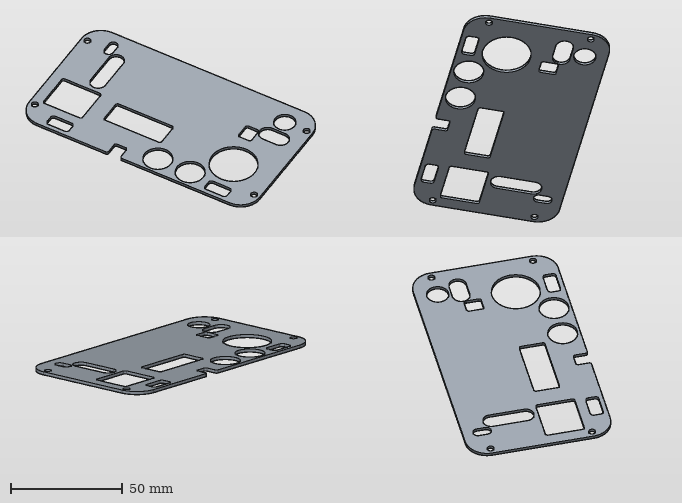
import cadquery as cq

LENGTH = 120.0
WIDTH = 67.0
THICKNESS = 1.5
CORNER_RADIUS = 10.0

SCREW_DIAMETER = 3.1
SCREW_EDGE_INSET = 3.0
SCREW_X = LENGTH / 2 - SCREW_EDGE_INSET
SCREW_Y = 23.45

ROUND_OPENINGS = [
    (45.75, 23.25, 10.0),
    (39.25, -11.3, 22.0),
    (24.95, -25.5, 13.5),
    (8.15, -25.5, 13.5),
]

SLOTS = [
    (-45.4, 24.6, 8.4, 4.4, 90),
    (-39.5, 11.0, 23.5, 7.5, 90),
    (46.1, 13.1, 14.7, 8.0, 0),
]

SMALL_RADIUS = 1.0
PORT_RADIUS = 1.5
PORT_X = 41.05
PORT_Y = -28.4
PORT_SIZE = (11.5, 6.0)
RECTANGLES = [
    (-44.45, -11.7, 20.2, 18.0, SMALL_RADIUS),
    (-10.7, -10.25, 29.8, 11.9, SMALL_RADIUS),
    (35.25, 9.0, 6.7, 7.9, SMALL_RADIUS),
    (-PORT_X, PORT_Y, *PORT_SIZE, PORT_RADIUS),
    (PORT_X, PORT_Y, *PORT_SIZE, PORT_RADIUS),
]

NOTCH_X = -10.1
NOTCH_WIDTH = 6.4
NOTCH_DEPTH = 6.8
NOTCH_RADIUS = 1.0


def make_plate():
    """Flat plate with rounded corners, standing on Z = 0."""
    plate = cq.Workplane("XY").rect(LENGTH, WIDTH).extrude(THICKNESS)
    return plate.edges("|Z").fillet(CORNER_RADIUS)


def round_cutter(x, y, diameter):
    return cq.Workplane("XY").center(x, y).circle(diameter / 2).extrude(THICKNESS)


def slot_cutter(x, y, length, width, angle):
    return cq.Workplane("XY").center(x, y).slot2D(length, width, angle).extrude(THICKNESS)


def rectangle_cutter(x, y, size_x, size_y, radius):
    block = cq.Workplane("XY").center(x, y).rect(size_x, size_y).extrude(THICKNESS)
    return block.edges("|Z").fillet(radius)


def notch_cutter():
    """Notch with rounded inner corners and a rounded lip where it meets the edge."""
    r = NOTCH_RADIUS
    half = NOTCH_WIDTH / 2
    outline = (
        cq.Workplane("XY")
        .center(NOTCH_X, -WIDTH / 2)
        .moveTo(-half - r, 0)
        .radiusArc((-half, r), -r)
        .lineTo(-half, NOTCH_DEPTH - r)
        .radiusArc((-half + r, NOTCH_DEPTH), r)
        .lineTo(half - r, NOTCH_DEPTH)
        .radiusArc((half, NOTCH_DEPTH - r), r)
        .lineTo(half, r)
        .radiusArc((half + r, 0), -r)
        .close()
    )
    return outline.extrude(THICKNESS)


result = make_plate()

for screw_x in (-SCREW_X, SCREW_X):
    for screw_y in (-SCREW_Y, SCREW_Y):
        result = result.cut(round_cutter(screw_x, screw_y, SCREW_DIAMETER))

for opening in ROUND_OPENINGS:
    result = result.cut(round_cutter(*opening))

for slot in SLOTS:
    result = result.cut(slot_cutter(*slot))

for rectangle in RECTANGLES:
    result = result.cut(rectangle_cutter(*rectangle))

result = result.cut(notch_cutter())